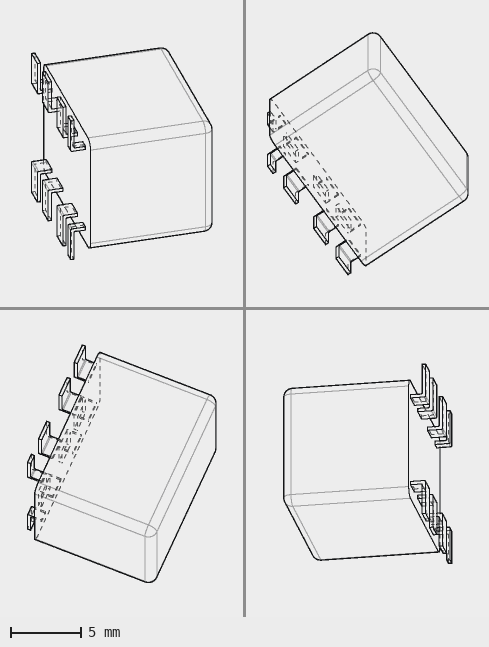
import cadquery as cq

body_width = 12.0
body_depth = 9.2
body_height = 9.0
body_edge_radius = 0.65

pin_thickness = 0.25
pin_reach = 1.1
pin_row_span = 11.44
pin_foot_length = 2.52
outer_bend_radius = 0.1
inner_bend_radius = 0.08
wide_pin = 1.5
narrow_pin = 0.7
pins = [
    (-4.56, wide_pin),
    (-1.79, wide_pin),
    (1.95, wide_pin),
    (4.37, narrow_pin),
]


def make_body():
    """Block with every edge rounded except those around the flat -Y face."""
    block = cq.Workplane("XY").box(
        body_width, body_depth, body_height, centered=(True, False, True)
    )
    return block.edges("|Y or >Y").fillet(body_edge_radius)


def make_pin(centre_x, width):
    """L-shaped pin of the upper row: a stem along -Y, then a foot turned up along +Z."""
    foot_end = pin_row_span / 2
    stem_bottom = foot_end - pin_foot_length
    stem_top = stem_bottom + pin_thickness
    foot_front = -pin_reach
    foot_back = foot_front + pin_thickness
    profile = (
        cq.Workplane("YZ", origin=(centre_x, 0, 0))
        .moveTo(0, stem_bottom)
        .lineTo(foot_front + outer_bend_radius, stem_bottom)
        .radiusArc((foot_front, stem_bottom + outer_bend_radius), outer_bend_radius)
        .lineTo(foot_front, foot_end)
        .lineTo(foot_back, foot_end)
        .lineTo(foot_back, stem_top + inner_bend_radius)
        .radiusArc((foot_back + inner_bend_radius, stem_top), -inner_bend_radius)
        .lineTo(0, stem_top)
        .close()
    )
    return profile.extrude(width / 2, both=True)


result = make_body()
for centre_x, width in pins:
    upper_pin = make_pin(centre_x, width)
    lower_pin = upper_pin.mirror("XY")
    result = result.union(upper_pin).union(lower_pin)